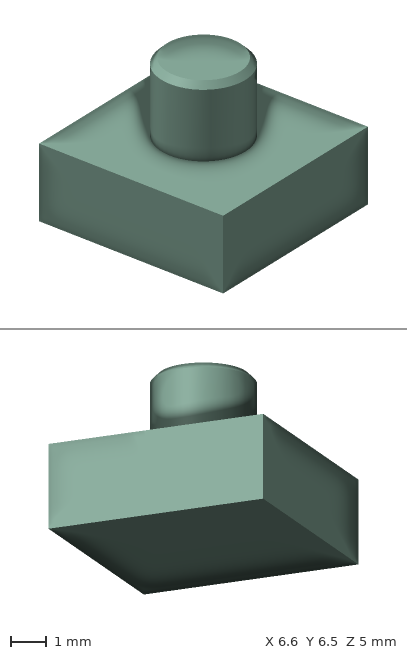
import cadquery as cq

body_length = 6.6
body_width = 6.5
total_height = 5.0

body_height = 2.5
plunger_height = total_height - body_height

plunger_diameter = 3.0
plunger_chamfer = 0.2


def make_body():
    """Plain rectangular block resting on Z = 0, centred on the Z axis."""
    return cq.Workplane("XY").box(body_length, body_width, body_height, centered=(True, True, False))


def make_plunger():
    """Round plunger standing on the top face of the body, chamfered at its upper rim."""
    return (
        cq.Workplane("XY", origin=(0, 0, body_height))
        .circle(plunger_diameter / 2)
        .extrude(plunger_height)
        .faces(">Z")
        .chamfer(plunger_chamfer)
    )


body = make_body()
plunger = make_plunger()

result = cq.Compound.makeCompound([body.val(), plunger.val()])